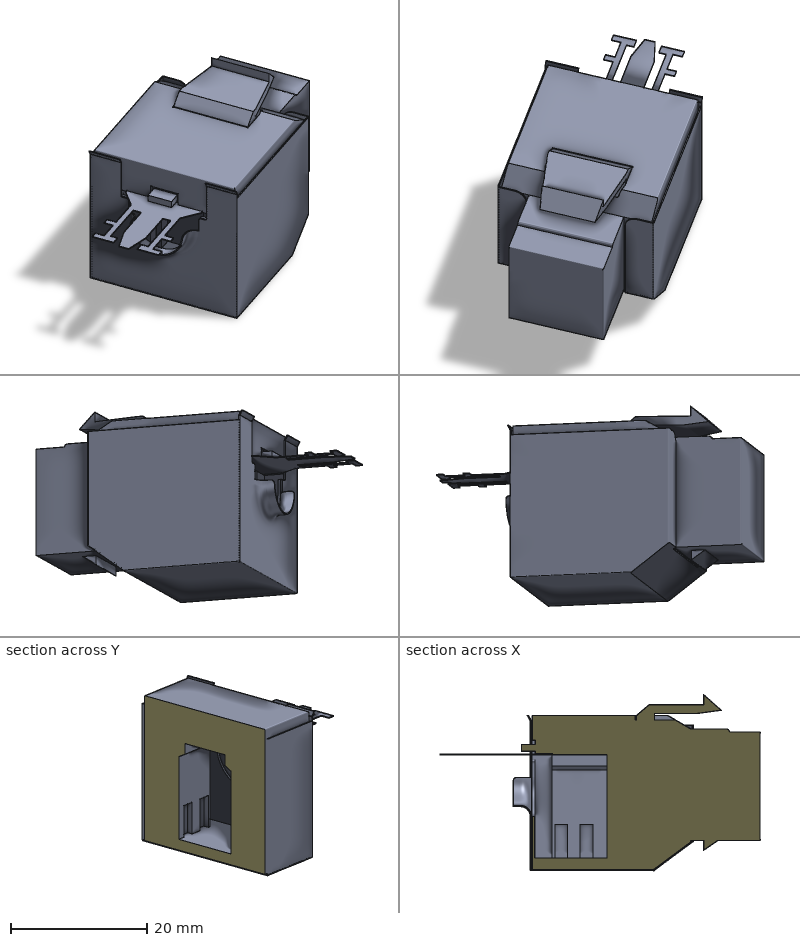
import cadquery as cq
import math


overshoot = 0.45

shield_width = 24.0
shield_depth = 23.95
sheet = 0.2
side_height = 21.35
front_height = 22.02
bend_radius = 0.25
slope_y = 18.15
slope_z = 4.3
flange_inner_x = 7.6
flange_corner = 1.9
lip_run = 0.4
lip_rise = 0.75

entry_z = 13.7
entry_half_width = 5.75
notch_half_width = 7.0
notch_z = 15.95
notch_fillet = 0.3
spout_radius = 4.3
spout_length = 2.5
spout_fillet = 0.55
flare_radius = entry_half_width - spout_radius

jack_width = 23.0
jack_top = 22.78
jack_rear = 23.57
jack_front = 0.3
jack_fillet = 0.2
top_slope_y = 20.2
plug_half_width = 7.3
plug_end = 33.75
plug_bottom = 4.4
plug_top = 20.8
plug_step = 0.4
plug_step_start = 29.0
plug_step_end = 29.3
plug_step_fillet = 0.45
plug_fillet = 0.2

latch_top = 24.35
latch_bottom = 23.05
latch_foot_front = 15.6
latch_ramp_end = 17.45
latch_foot_rear = 18.25
latch_bend_y = 24.55
hook_y = 25.45
hook_top = 25.85
hook_tip_y = 28.05
hook_tip_z = 23.55
latch_half_width = 6.05
latch_tip_half_width = 4.23
catch_tip_y = 27.5
catch_drop = 1.4

recess_depth = 0.65
recess_floor = jack_top - recess_depth
recess_half_width = 6.15
recess_front = 15.45
recess_taper_y = 19.25
recess_rear = 21.6
recess_rear_half_width = 5.55

blade_bottom = 17.0
blade_thickness = 0.15
blade_root_half_width = 6.2
blade_tip_y = -13.2
blade_neck_y = -2.7
arm_inner_x = 3.05
arm_outer_x = 4.0
barb_x = 5.45
foot_inner_x = 1.93
upper_barb_y = (-7.7, -8.7)
lower_barb_y = (-11.65, -12.7)
foot_top_y = -11.35
gap_top_y = -3.85
tongue_half_width = 1.8
tongue_taper_y = -9.55
tongue_tip_half_width = 0.8

mouth_depth = 0.7
wide_pocket_depth = 3.25
deep_pocket_depth = 11.25
pocket_bottom = 1.9
pocket_upper_half_width = 3.75
pocket_lower_half_width = 4.9
pocket_shoulder_bottom = 14.75
pocket_shoulder_top = 15.35
slot_depth = 0.85
slot_length = 1.9
slot_top = 6.8
slot_rear_ys = (5.5, 9.2)

window_half_width = 2.25
window_top = 19.1
window_depth = 0.45
lug_half_width = 1.93
lug_bottom = 17.5
lug_top = 18.55
lug_end_y = -1.25


def box(x0, x1, y0, y1, z0, z1):
    return cq.Workplane("XY").box(x1 - x0, y1 - y0, z1 - z0, centered=False).translate((x0, y0, z0))


def prism_x(points, half_width):
    """Extrude a (Y, Z) outline symmetrically about X = 0."""
    return cq.Workplane("YZ").polyline(points).close().extrude(half_width, both=True)


def prism_y(points, y0, y1):
    """Extrude an (X, Z) outline from y0 to y1."""
    return cq.Workplane("XZ", origin=(0, y0, 0)).polyline(points).close().extrude(y0 - y1)


def mirrored(points):
    """Close a half outline, listed from top to bottom at positive X, with its mirror image."""
    return points + [(-x, v) for x, v in reversed(points)]


slope_angle = math.atan2(slope_z, shield_depth - slope_y)
inner_slope_y = slope_y - sheet * math.tan(slope_angle / 2)


def slope_height(y):
    """Height of the upper surface of the sloping floor."""
    return sheet + (y - inner_slope_y) * math.tan(slope_angle)


def make_shield():
    half = shield_width / 2
    outer = prism_x(
        [(0, 0), (slope_y, 0), (shield_depth, slope_z), (shield_depth, front_height), (0, front_height)], half
    )
    outer = outer.faces("<Z").edges("|Y or <Y").fillet(bend_radius)
    outer = outer.edges("|Z and >Y").fillet(bend_radius)
    inner_rear = shield_depth - sheet
    above = front_height + overshoot
    inner = prism_x(
        [(sheet, sheet), (inner_slope_y, sheet), (inner_rear, slope_height(inner_rear)),
         (inner_rear, above), (sheet, above)],
        half - sheet,
    )
    shield = outer.cut(inner)
    shield = shield.cut(box(-half, half, sheet, shield_depth, side_height, above))
    shield = shield.cut(box(-flange_inner_x, flange_inner_x, jack_rear, shield_depth + overshoot, 0, above))
    for side in (-1, 1):
        corner = cq.selectors.NearestToPointSelector((side * flange_inner_x, inner_rear, side_height))
        shield = shield.edges("|Y").edges(corner).fillet(flange_corner)
    for side in (-1, 1):
        shield = shield.union(make_lip(side))
    shield = shield.cut(make_entry(0, sheet))
    return shield.union(make_spout())


def make_lip(side):
    """Flared strip along the top of the front wall, on one side of the notch."""
    points = [
        (sheet, front_height),
        (0, front_height),
        (-lip_run, front_height + lip_rise),
        (sheet - lip_run, front_height + lip_rise),
    ]
    length = shield_width / 2 - notch_half_width
    start = -shield_width / 2 if side < 0 else notch_half_width
    return cq.Workplane("YZ", origin=(start, 0, 0)).polyline(points).close().extrude(length)


def make_entry(y0, y1):
    """Cable entry between two depths: a stepped slot that ends in a half circle."""
    r = notch_fillet
    above = front_height + overshoot
    return (
        cq.Workplane("XZ", origin=(0, y1, 0))
        .moveTo(notch_half_width, above)
        .lineTo(notch_half_width, notch_z + r)
        .radiusArc((notch_half_width - r, notch_z), r)
        .lineTo(entry_half_width + r, notch_z)
        .radiusArc((entry_half_width, notch_z - r), -r)
        .lineTo(entry_half_width, entry_z)
        .threePointArc((0, entry_z - entry_half_width), (-entry_half_width, entry_z))
        .lineTo(-entry_half_width, notch_z - r)
        .radiusArc((-entry_half_width - r, notch_z), -r)
        .lineTo(-notch_half_width + r, notch_z)
        .radiusArc((-notch_half_width, notch_z + r), r)
        .lineTo(-notch_half_width, above)
        .close()
        .extrude(y1 - y0)
    )


def make_spout():
    """Half-round cable saddle: the sheet curls out of the wall into a short half tube."""
    middle = math.sqrt(0.5)
    inner_flare = flare_radius + sheet
    flare_x = entry_half_width
    flare_y = -flare_radius
    profile = (
        cq.Workplane("XY")
        .moveTo(flare_x, 0)
        .threePointArc((flare_x - flare_radius * middle, flare_y + flare_radius * middle),
                       (spout_radius, flare_y))
        .lineTo(spout_radius, -spout_length)
        .lineTo(spout_radius - sheet, -spout_length)
        .lineTo(spout_radius - sheet, flare_y)
        .threePointArc((flare_x - inner_flare * middle, flare_y + inner_flare * middle), (flare_x, sheet))
        .close()
    )
    spout = profile.revolve(180, (0, 0, 0), (0, 1, 0))
    spout = spout.intersect(make_spout_side())
    return spout.translate((0, 0, entry_z))


def make_spout_side():
    """Side outline of the lower half of the saddle, with its upper end corner rounded."""
    r = spout_fillet
    return (
        cq.Workplane("YZ")
        .moveTo(sheet, 0)
        .lineTo(-spout_length + r, 0)
        .radiusArc((-spout_length, -r), -r)
        .lineTo(-spout_length, -entry_half_width)
        .lineTo(sheet, -entry_half_width)
        .close()
        .extrude(entry_half_width, both=True)
    )


def make_jack():
    body = make_jack_block().cut(make_latch_recess()).union(make_plug())
    body = body.union(make_latch()).union(make_catch())
    body = body.cut(make_cable_pocket()).cut(make_window())
    lug = box(-lug_half_width, lug_half_width, lug_end_y, jack_front + window_depth, lug_bottom, lug_top)
    return body.union(lug)


def make_jack_block():
    """Main block, resting on the shield floor and sloping off at the rear."""
    block = prism_x(
        [(jack_front, sheet), (inner_slope_y, sheet), (jack_rear, slope_height(jack_rear)),
         (jack_rear, plug_top), (top_slope_y, jack_top), (jack_front, jack_top)],
        jack_width / 2,
    )
    return block.faces(">Z").edges("not >Y").fillet(jack_fillet)


def make_plug():
    end_top = plug_top - plug_step
    plug = prism_x(
        [(jack_rear, plug_bottom), (plug_end, plug_bottom), (plug_end, end_top), (plug_step_end, end_top),
         (plug_step_start, plug_top), (jack_rear, plug_top)],
        plug_half_width,
    )
    step_edge = cq.selectors.NearestToPointSelector((0, plug_step_start, plug_top))
    plug = plug.edges("|X").edges(step_edge).fillet(plug_step_fillet)
    return plug.faces(">Y").edges().fillet(plug_fillet)


def make_latch_recess():
    """Recess that follows the latch outline with a little clearance and runs out through the rear slope."""
    outline = mirrored(
        [(recess_rear_half_width, recess_rear), (recess_half_width, recess_taper_y),
         (recess_half_width, recess_front)]
    )
    floor = cq.Workplane("XY", origin=(0, 0, recess_floor)).polyline(outline).close()
    return floor.extrude(recess_depth)


def make_latch():
    """Spring latch: a foot on the jack top and a tapered arm with a hook at its end."""
    profile = prism_x(
        [(latch_foot_front, recess_floor), (latch_foot_front, jack_top), (latch_ramp_end, latch_top),
         (hook_y, latch_top), (hook_y, hook_top), (hook_tip_y, hook_tip_z),
         (latch_bend_y, latch_bottom), (latch_foot_rear, latch_bottom), (latch_foot_rear, recess_floor)],
        latch_half_width,
    )
    outline = mirrored(
        [(latch_tip_half_width, hook_tip_y), (latch_half_width, latch_foot_rear),
         (latch_half_width, latch_foot_front)]
    )
    plan = cq.Workplane("XY").polyline(outline).close().extrude(hook_top)
    return profile.intersect(plan)


def make_catch():
    """Wedge under the plug, opposite the latch hook."""
    return prism_x(
        [(hook_y, plug_bottom), (catch_tip_y, plug_bottom), (hook_y, plug_bottom - catch_drop)],
        latch_tip_half_width,
    )


def make_cable_pocket():
    """Stepped pocket behind the cable entry; its roof seats the root of the blade."""
    mouth = make_entry(jack_front, mouth_depth)
    mouth = mouth.intersect(box(-notch_half_width, notch_half_width, 0, mouth_depth, 0, blade_bottom))
    wide = box(-notch_half_width, notch_half_width, mouth_depth, wide_pocket_depth,
               pocket_bottom, blade_bottom)
    shoulder = mirrored(
        [(pocket_upper_half_width, blade_bottom), (pocket_upper_half_width, pocket_shoulder_top),
         (pocket_lower_half_width, pocket_shoulder_bottom), (pocket_lower_half_width, pocket_bottom)]
    )
    pocket = mouth.union(wide).union(prism_y(shoulder, mouth_depth, deep_pocket_depth))
    slot_x = pocket_lower_half_width + slot_depth
    for rear in slot_rear_ys:
        pocket = pocket.union(box(-slot_x, slot_x, rear - slot_length, rear, pocket_bottom, slot_top))
    blade_seat = box(-blade_root_half_width, blade_root_half_width, jack_front, wide_pocket_depth,
                     blade_bottom, blade_bottom + blade_thickness)
    return pocket.union(blade_seat)


def make_window():
    """Shallow recess around the lug, open to the blade below it."""
    return box(-window_half_width, window_half_width, jack_front, jack_front + window_depth,
               blade_bottom + blade_thickness, window_top)


def make_blade():
    """Flat blade with two barbed arms and a pointed tongue between them."""
    upper_top, upper_bottom = upper_barb_y
    lower_top, lower_bottom = lower_barb_y
    half_outline = [
        (blade_root_half_width, wide_pocket_depth),
        (blade_root_half_width, 0),
        (arm_outer_x, blade_neck_y),
        (arm_outer_x, upper_top),
        (barb_x, upper_top),
        (barb_x, upper_bottom),
        (arm_outer_x, upper_bottom),
        (arm_outer_x, lower_top),
        (barb_x, lower_top),
        (barb_x, lower_bottom),
        (foot_inner_x, lower_bottom),
        (foot_inner_x, foot_top_y),
        (arm_inner_x, foot_top_y),
        (arm_inner_x, gap_top_y),
        (tongue_half_width, gap_top_y),
        (tongue_half_width, tongue_taper_y),
        (tongue_tip_half_width, blade_tip_y),
    ]
    outline = cq.Workplane("XY", origin=(0, 0, blade_bottom)).polyline(mirrored(half_outline)).close()
    return outline.extrude(blade_thickness)


shield = make_shield()
jack = make_jack()
blade = make_blade()

result = cq.Compound.makeCompound([shield.solids().val(), jack.solids().val(), blade.val()])